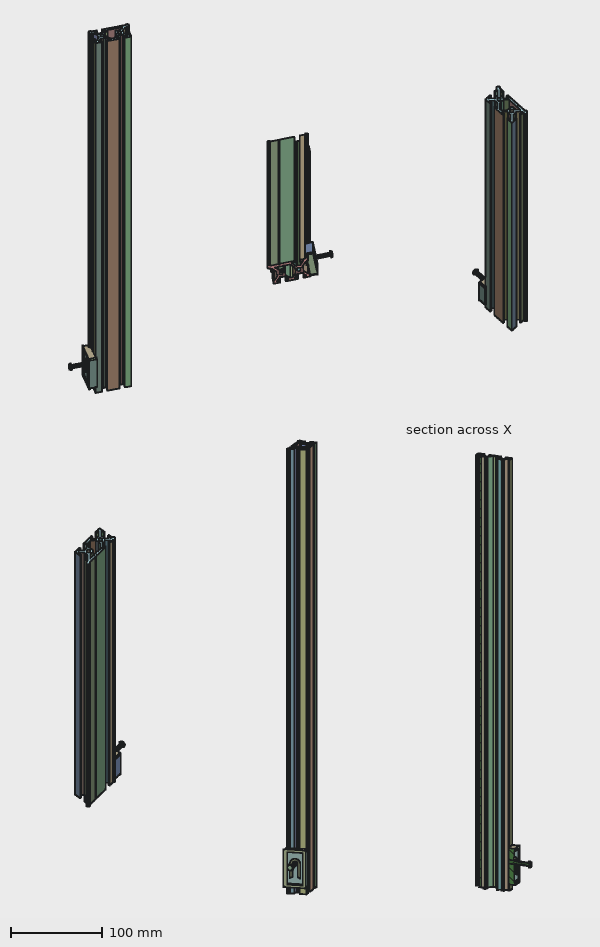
import cadquery as cq

TOP_Z = 250.0
BOTTOM_Z = -250.0
SCREW_FRONT_Y = -35.5
CENTRE_X = 0.5

PROFILE_BOTTOM_Z = -249.0
PROFILE_LENGTH = TOP_Z - PROFILE_BOTTOM_Z
CELL_PITCH = 20.0
HALF_WIDTH = 10.5
FRONT_CELL_Y = 2.0
BACK_CELL_Y = FRONT_CELL_Y + CELL_PITCH
MIDDLE_Y = FRONT_CELL_Y + CELL_PITCH / 2
PROFILE_WIDTH = 2 * HALF_WIDTH
PROFILE_DEPTH = CELL_PITCH + PROFILE_WIDTH
PROFILE_FRONT_Y = FRONT_CELL_Y - HALF_WIDTH

SLOT_HALF_OPENING = 3.0
END_LIP_THICKNESS = 1.5
SIDE_LIP_THICKNESS = 2.0
WALL_THICKNESS = 3.0
CORE_HALF_WIDTH = 4.25
NOSE_HEIGHT = 0.75
SLOT_CORNER_INSET = 2.0
CHAMBER_CORNER_INSET = 1.0
CORE_BORE_DIAMETER = 4.2

BEAD_SIDES = 8
BEAD_WIDTH = 4.0
BEAD_X = -9.0
BACK_BEAD_Y = 33.5
FRONT_BEAD_Y = PROFILE_FRONT_Y
GROOVE_WIDTH = 1.5
GROOVE_DEPTH = 1.0

COVER_WIDTH = 26.0
COVER_TOP_Z = -198.0
COVER_BOTTOM_Z = -240.5
COVER_BACK_Y = -7.5
COVER_FRONT_Y = -16.5
COVER_HEIGHT = COVER_TOP_Z - COVER_BOTTOM_Z
COVER_CENTRE_Z = (COVER_TOP_Z + COVER_BOTTOM_Z) / 2
FACE_PLATE_THICKNESS = 1.0
COVER_CORNER_CHAMFER = 1.5

PANEL_WIDTH = 18.0
PANEL_TOP_Z = COVER_TOP_Z - 3.0
PANEL_BOTTOM_Z = COVER_BOTTOM_Z + 3.0
PANEL_DEPTH = 0.5
PANEL_SLOPE_HEIGHT = 1.5
PANEL_FLOOR_Y = COVER_FRONT_Y + PANEL_DEPTH

ARCH_OUTER_RADIUS = 6.0
ARCH_INNER_RADIUS = 3.0
ARCH_LEG_LENGTH = 16.0
ARCH_LEG_SLANT = 1.5
ARCH_DEPTH = 0.5

SCREW_Z = -214.0
THREAD_DIAMETER = 4.0
THREAD_ROOT_DIAMETER = 3.1
THREAD_COUNT = 26
HEAD_DIAMETER = 7.5
HEAD_TIP_DIAMETER = 6.0
HEAD_HEIGHT = 2.0

PIN_DIAMETER = 3.9
PIN_X = -1.5
PIN_Y = 20.5


def bead(y):
    """Octagonal rod with flats facing X and Y."""
    return (
        cq.Workplane("XY", origin=(BEAD_X, y, PROFILE_BOTTOM_Z))
        .polygon(BEAD_SIDES, BEAD_WIDTH, circumscribed=True)
        .extrude(PROFILE_LENGTH)
    )


def core_bore_cutter(cell_y):
    return (
        cq.Workplane("XY", origin=(CENTRE_X, cell_y, PROFILE_BOTTOM_Z))
        .circle(CORE_BORE_DIAMETER / 2)
        .extrude(PROFILE_LENGTH)
    )


def prism_along_profile(points):
    """Prism over the profile length; X of the points is measured from the mid-plane."""
    return (
        cq.Workplane("XY", origin=(CENTRE_X, 0, PROFILE_BOTTOM_Z))
        .polyline(points)
        .close()
        .extrude(PROFILE_LENGTH)
    )


def slot_cutter(cell_y, turn, lip_thickness):
    """T-slot of one cell; at zero turn it opens toward +Y."""
    lip = HALF_WIDTH - lip_thickness
    right_side = [
        (SLOT_HALF_OPENING, HALF_WIDTH),
        (SLOT_HALF_OPENING, lip),
        (lip - SLOT_CORNER_INSET, lip),
        (CORE_HALF_WIDTH - SLOT_CORNER_INSET, CORE_HALF_WIDTH),
    ]
    nose = [(0, CORE_HALF_WIDTH + NOSE_HEIGHT)]
    left_side = [(-x, y) for x, y in reversed(right_side)]
    slot = prism_along_profile(right_side + nose + left_side)
    return slot.rotate((CENTRE_X, 0, 0), (CENTRE_X, 0, 1), turn).translate((0, cell_y, 0))


def chamber_cutter():
    """Closed chamber between the cores, reaching up behind the unslotted left wall."""
    wall = HALF_WIDTH - WALL_THICKNESS
    core = CORE_HALF_WIDTH
    wall_corner = wall + CHAMBER_CORNER_INSET
    core_corner = core - CHAMBER_CORNER_INSET
    return prism_along_profile(
        [
            (-wall, FRONT_CELL_Y + wall_corner),
            (-core_corner, FRONT_CELL_Y + core),
            (0, FRONT_CELL_Y + core - NOSE_HEIGHT),
            (core_corner, FRONT_CELL_Y + core),
            (wall, FRONT_CELL_Y + wall_corner),
            (wall, BACK_CELL_Y - wall_corner),
            (core_corner, BACK_CELL_Y - core),
            (-core_corner, BACK_CELL_Y - core),
            (-core, BACK_CELL_Y - core_corner),
            (-core, BACK_CELL_Y + SLOT_CORNER_INSET),
            (-wall, BACK_CELL_Y + wall - SLOT_CORNER_INSET),
        ]
    )


def groove_cutter():
    """V-groove along the outside of the unslotted left wall."""
    return prism_along_profile(
        [
            (-HALF_WIDTH, BACK_CELL_Y - GROOVE_WIDTH / 2),
            (-HALF_WIDTH + GROOVE_DEPTH, BACK_CELL_Y),
            (-HALF_WIDTH, BACK_CELL_Y + GROOVE_WIDTH / 2),
        ]
    )


def make_profile():
    body = (
        cq.Workplane("XY", origin=(CENTRE_X, MIDDLE_Y, PROFILE_BOTTOM_Z))
        .rect(PROFILE_WIDTH, PROFILE_DEPTH)
        .extrude(PROFILE_LENGTH)
    )
    for bead_y in (FRONT_BEAD_Y, BACK_BEAD_Y):
        body = body.union(bead(bead_y))
    slots = [
        (BACK_CELL_Y, 0, END_LIP_THICKNESS),
        (BACK_CELL_Y, 270, SIDE_LIP_THICKNESS),
        (FRONT_CELL_Y, 270, SIDE_LIP_THICKNESS),
        (FRONT_CELL_Y, 180, END_LIP_THICKNESS),
        (FRONT_CELL_Y, 90, SIDE_LIP_THICKNESS),
    ]
    for cell_y, turn, lip_thickness in slots:
        body = body.cut(slot_cutter(cell_y, turn, lip_thickness))
    for cell_y in (FRONT_CELL_Y, BACK_CELL_Y):
        body = body.cut(core_bore_cutter(cell_y))
    return body.cut(chamber_cutter()).cut(groove_cutter())


def cover_slab(back_y, front_y):
    return (
        cq.Workplane("XZ", origin=(0, back_y, COVER_CENTRE_Z))
        .rect(COVER_WIDTH, COVER_HEIGHT)
        .extrude(back_y - front_y)
    )


def seat_cutter():
    """Recess in the back of the cover that fits the profile front and its bead."""
    flat = (
        cq.Workplane("XZ", origin=(CENTRE_X, COVER_BACK_Y, COVER_CENTRE_Z))
        .rect(PROFILE_WIDTH, COVER_HEIGHT)
        .extrude(COVER_BACK_Y - PROFILE_FRONT_Y)
    )
    return flat.union(bead(FRONT_BEAD_Y))


def panel_cutter():
    return (
        cq.Workplane("YZ", origin=(CENTRE_X - PANEL_WIDTH / 2, 0, 0))
        .moveTo(COVER_FRONT_Y, PANEL_TOP_Z)
        .lineTo(PANEL_FLOOR_Y, PANEL_TOP_Z)
        .lineTo(PANEL_FLOOR_Y, PANEL_BOTTOM_Z + PANEL_SLOPE_HEIGHT)
        .lineTo(COVER_FRONT_Y, PANEL_BOTTOM_Z)
        .close()
        .extrude(PANEL_WIDTH)
    )


def arch_cutter():
    """Groove of an inverted U: a half ring over the screw with two slant-ended legs."""
    inner_end = ARCH_LEG_SLANT - ARCH_LEG_LENGTH
    return (
        cq.Workplane("XZ", origin=(CENTRE_X, PANEL_FLOOR_Y + ARCH_DEPTH, SCREW_Z))
        .moveTo(-ARCH_OUTER_RADIUS, -ARCH_LEG_LENGTH)
        .lineTo(-ARCH_OUTER_RADIUS, 0)
        .threePointArc((0, ARCH_OUTER_RADIUS), (ARCH_OUTER_RADIUS, 0))
        .lineTo(ARCH_OUTER_RADIUS, -ARCH_LEG_LENGTH)
        .lineTo(ARCH_INNER_RADIUS, inner_end)
        .lineTo(ARCH_INNER_RADIUS, 0)
        .threePointArc((0, ARCH_INNER_RADIUS), (-ARCH_INNER_RADIUS, 0))
        .lineTo(-ARCH_INNER_RADIUS, inner_end)
        .close()
        .extrude(ARCH_DEPTH)
    )


def screw_hole_cutter():
    return (
        cq.Workplane("XZ", origin=(CENTRE_X, COVER_BACK_Y, SCREW_Z))
        .circle(THREAD_DIAMETER / 2)
        .extrude(COVER_BACK_Y - COVER_FRONT_Y)
    )


def make_cover():
    plate_back_y = COVER_FRONT_Y + FACE_PLATE_THICKNESS
    block = cover_slab(COVER_BACK_Y, plate_back_y).edges("|Y").chamfer(COVER_CORNER_CHAMFER)
    body = block.union(cover_slab(plate_back_y, COVER_FRONT_Y))
    for cutter in (seat_cutter(), panel_cutter(), arch_cutter(), screw_hole_cutter()):
        body = body.cut(cutter)
    return body


def make_screw():
    """Screw turned about its axis: plain in the cover, ring-threaded outside, tapered head."""
    crest = THREAD_DIAMETER / 2
    root = THREAD_ROOT_DIAMETER / 2
    head_y = SCREW_FRONT_Y + HEAD_HEIGHT
    pitch = (PANEL_FLOOR_Y - head_y) / THREAD_COUNT
    outline = [(0, PROFILE_FRONT_Y), (crest, PROFILE_FRONT_Y), (crest, PANEL_FLOOR_Y)]
    for turn in range(THREAD_COUNT):
        crest_y = PANEL_FLOOR_Y - turn * pitch
        outline.append((root, crest_y - pitch / 2))
        outline.append((crest, crest_y - pitch))
    outline += [
        (HEAD_DIAMETER / 2, head_y),
        (HEAD_TIP_DIAMETER / 2, SCREW_FRONT_Y),
        (0, SCREW_FRONT_Y),
    ]
    return (
        cq.Workplane("XY", origin=(CENTRE_X, 0, SCREW_Z))
        .polyline(outline)
        .close()
        .revolve(360, (0, 0, 0), (0, 1, 0))
    )


def make_pin():
    return (
        cq.Workplane("XY", origin=(PIN_X, PIN_Y, BOTTOM_Z))
        .circle(PIN_DIAMETER / 2)
        .extrude(PROFILE_BOTTOM_Z - BOTTOM_Z)
    )


profile = make_profile()
cover = make_cover()
screw = make_screw()
pin = make_pin()

result = cq.Compound.makeCompound([profile.val(), cover.val(), screw.val(), pin.val()])